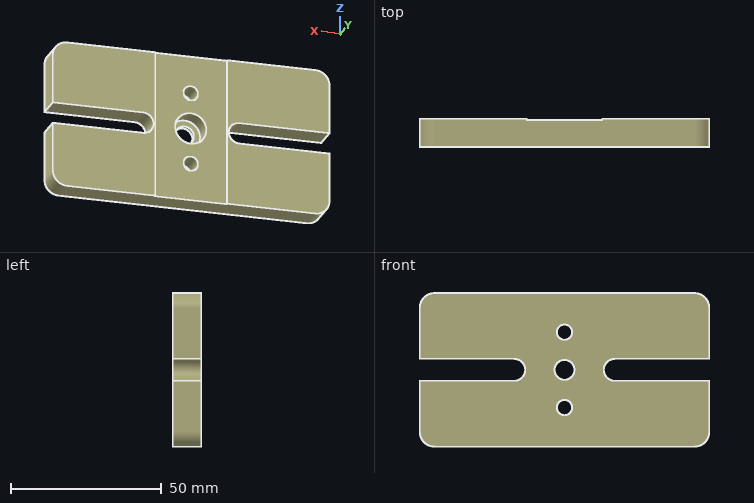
import cadquery as cq

length = 96.0
thickness = 9.5
height = 51.0
corner_radius = 5.0

slot_width = 7.2
slot_end_offset = 13.1

center_hole_diameter = 6.5
counterbore_diameter = 10.8
counterbore_floor = 2.0
side_hole_diameter = 5.0
side_hole_offset = 12.5

channel_width = 25.0
channel_depth = 0.5


def through_hole(x, z, diameter):
    """Cylinder along Y that spans the plate thickness."""
    return (
        cq.Workplane("XZ")
        .center(x, z)
        .circle(diameter / 2)
        .extrude(thickness / 2, both=True)
    )


def end_slot(side):
    """Round-tipped slot cutter, open at the end given by side (-1 or +1)."""
    tip_center = side * (slot_end_offset + slot_width / 2)
    plate_end = side * length / 2
    straight_length = abs(plate_end - tip_center)
    straight = cq.Workplane("XY").box(straight_length, thickness, slot_width)
    straight = straight.translate(((tip_center + plate_end) / 2, 0, 0))
    return straight.union(through_hole(tip_center, 0, slot_width))


plate = cq.Workplane("XY").box(length, thickness, height)
plate = plate.edges("|Y").fillet(corner_radius)

for side in (-1, 1):
    plate = plate.cut(end_slot(side))
    plate = plate.cut(through_hole(0, side * side_hole_offset, side_hole_diameter))
plate = plate.cut(through_hole(0, 0, center_hole_diameter))

counterbore = through_hole(0, 0, counterbore_diameter).translate((0, counterbore_floor, 0))
plate = plate.cut(counterbore)

channel = cq.Workplane("XY").box(channel_width, channel_depth, height)
channel = channel.translate((0, (thickness - channel_depth) / 2, 0))

result = plate.cut(channel)